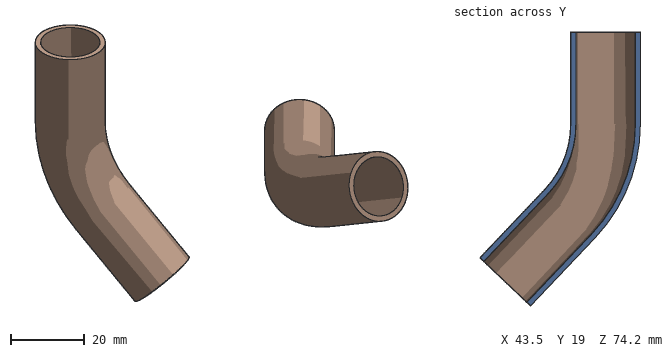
import cadquery as cq
import math

overall_height = 74.15
outer_diameter = 19.0
bore_diameter = 16.0
bend_radius = 35.15
bend_angle = 43.5
lower_length = 25.4

outer_radius = outer_diameter / 2
sin_bend = math.sin(math.radians(bend_angle))
cos_bend = math.cos(math.radians(bend_angle))
bend_height = bend_radius * sin_bend
lower_height = lower_length * cos_bend + outer_radius * sin_bend
upper_length = overall_height - bend_height - lower_height


def pipe_section():
    """Ring-shaped cross-section at the top of the bend, in the XY plane."""
    return cq.Workplane("XY").circle(outer_radius).circle(bore_diameter / 2)


upper_leg = pipe_section().extrude(upper_length)

bend = pipe_section().revolve(bend_angle, (bend_radius, 0, 0), (bend_radius, -1, 0))

lower_leg = (
    pipe_section()
    .extrude(-lower_length)
    .rotate((bend_radius, 0, 0), (bend_radius, -1, 0), bend_angle)
)

result = upper_leg.union(bend).union(lower_leg)